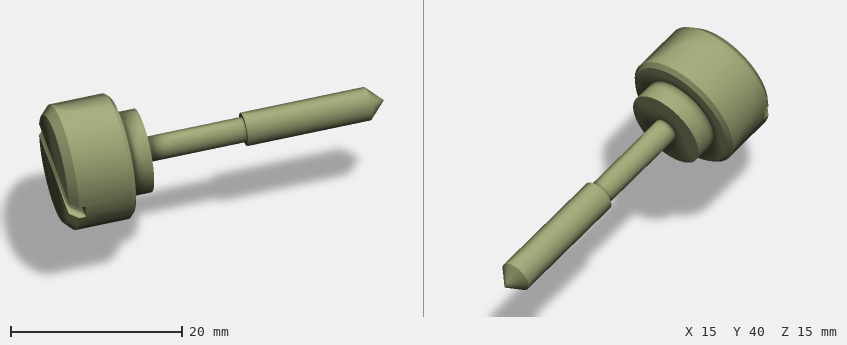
import cadquery as cq


head_diameter = 15.0
head_length = 8.0
front_chamfer = 1.0
back_chamfer = front_chamfer / 2
slot_width = 1.8
slot_depth = 1.8

collar_diameter = 10.0
collar_end = 10.0
ring_thickness = 0.75

shank_diameter = 3.0
pin_diameter = 4.0
pin_start = 23.0
total_length = 40.0
tip_length = pin_diameter / 2


def cylinder(diameter, start, end):
    """Solid cylinder on the Y axis between two positions."""
    base = cq.Workplane("XZ", origin=(0, start, 0))
    return base.circle(diameter / 2).extrude(start - end)


def make_head():
    head = cylinder(head_diameter, 0, head_length)
    head = head.faces("<Y").chamfer(front_chamfer)
    head = head.faces(">Y").chamfer(back_chamfer)
    slot = cq.Workplane("XY").box(
        head_diameter, slot_depth, slot_width, centered=(True, False, True)
    )
    return head.cut(slot)


def make_pin():
    """Pin that ends in a sharp cone."""
    radius = pin_diameter / 2
    return (
        cq.Workplane("XY")
        .moveTo(0, pin_start)
        .lineTo(radius, pin_start)
        .lineTo(radius, total_length - tip_length)
        .lineTo(0, total_length)
        .close()
        .revolve(360, (0, 0, 0), (0, 1, 0))
    )


def make_screw():
    collar = cylinder(collar_diameter, head_length, collar_end)
    shank = cylinder(shank_diameter, collar_end, pin_start)
    return make_head().union(collar).union(shank).union(make_pin())


def make_retaining_ring():
    """Flat ring seated on the collar, with a bore that fits the shank."""
    ring_end = collar_end + ring_thickness
    bore = cylinder(shank_diameter, collar_end, ring_end)
    return cylinder(collar_diameter, collar_end, ring_end).cut(bore)


screw = make_screw()
retaining_ring = make_retaining_ring()

result = cq.Compound.makeCompound([screw.solids().val(), retaining_ring.solids().val()])